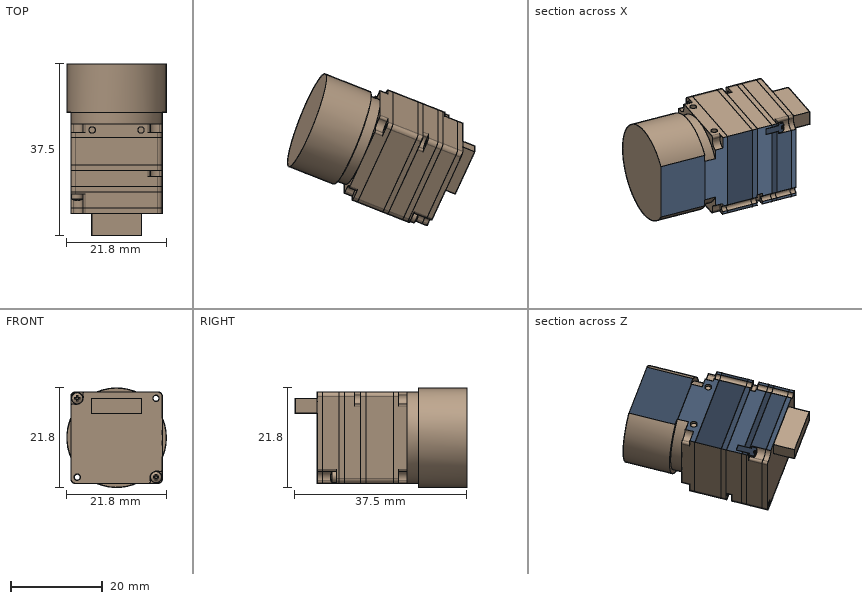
import cadquery as cq
import math

body_width = 20.0
corner_radius = 1.05
board_thickness = 1.2
spacer_thickness = 3.5
housing_length = 6.0
mount_flange_length = 3.0

mount_neck_diameter = 20.0
lens_diameter = 21.75
lens_length = 10.62
camera_length = 32.7

connector_width = 10.9
connector_height = 3.25
connector_length = 4.8
connector_center_z = 6.95

screw_offset = 8.6
through_hole_diameter = 1.3
screw_head_diameter = 2.44
screw_head_rim_height = 1.03
screw_head_height = 1.4
screw_shank_diameter = 1.3
screw_shank_length = 3.0

recess_span = 1.3
recess_floor_span = 0.3
recess_arm_width = 0.4
recess_center_diameter = 0.6
recess_depth = 0.65

pocket_center_offset = 8.85
pocket_radius = 1.58
pocket_blend_radius = 0.48
rear_pocket_floor_thickness = 0.45
middle_pocket_depth = 1.25
mount_pocket_depth = 1.85

lock_hole_diameter = 1.4
lock_hole_spacing = 10.65
lock_hole_depth = 2.0
lock_hole_from_neck = 1.35

rear_spacer_y = board_thickness
middle_board_y = rear_spacer_y + spacer_thickness
front_spacer_y = middle_board_y + board_thickness
front_board_y = front_spacer_y + spacer_thickness
housing_y = front_board_y + board_thickness
mount_y = housing_y + housing_length
neck_y = mount_y + mount_flange_length
lens_y = camera_length - lens_length
screw_seat_y = middle_board_y - rear_pocket_floor_thickness

half_width = body_width / 2
screw_corners = [(-1, 1), (1, -1)]
open_hole_corners = [(1, 1), (-1, -1)]


def plane_at(y):
    """XZ plane at the given Y, extruding toward +Y, with local axes (X, -Z)."""
    return cq.Workplane(cq.Plane(origin=(0, y, 0), xDir=(1, 0, 0), normal=(0, 1, 0)))


def cylinder(y, length, diameter, x=0, z=0):
    return plane_at(y).center(x, -z).circle(diameter / 2).extrude(length)


def block(y, length):
    """Square slab of the stack with rounded edges along Y."""
    return plane_at(y).rect(body_width, body_width).extrude(length).edges("|Y").fillet(corner_radius)


def cut_corner_holes(body, y, length, corners, diameter):
    for sx, sz in corners:
        body = body.cut(cylinder(y, length, diameter, sx * screw_offset, sz * screw_offset))
    return body


def corner_pocket(y, length, sx, sz):
    """Cutter for a corner: a concave arc flowing through convex blends into both side faces."""
    c = pocket_center_offset
    r = pocket_blend_radius
    reach = pocket_radius + r
    blend_far = half_width - r
    blend_near = c - math.sqrt(reach**2 - (blend_far - c) ** 2)
    tangent_angle = math.asin((blend_far - c) / reach)
    tangent_far = c + pocket_radius * math.sin(tangent_angle)
    tangent_near = c - pocket_radius * math.cos(tangent_angle)
    mid_angle = (math.pi / 2 - tangent_angle) / 2
    blend_mid_far = blend_far + r * math.sin(mid_angle)
    blend_mid_near = blend_near + r * math.cos(mid_angle)
    arc_mid = c - pocket_radius / math.sqrt(2)

    def point(x, z):
        return (sx * x, -sz * z)

    return (
        plane_at(y)
        .moveTo(*point(half_width, half_width))
        .lineTo(*point(blend_near, half_width))
        .threePointArc(point(blend_mid_near, blend_mid_far), point(tangent_near, tangent_far))
        .threePointArc(point(arc_mid, arc_mid), point(tangent_far, tangent_near))
        .threePointArc(point(blend_mid_far, blend_mid_near), point(half_width, blend_near))
        .close()
        .extrude(length)
    )


def cut_pockets(body, y, length, corners):
    for sx, sz in corners:
        body = body.cut(corner_pocket(y, length, sx, sz))
    return body


def drilled_block(y, length):
    """Slab with the two open corner holes."""
    return cut_corner_holes(block(y, length), y, length, open_hole_corners, through_hole_diameter)


def make_rear_board():
    board = cut_pockets(drilled_block(0, board_thickness), 0, board_thickness, screw_corners)
    plug = (
        plane_at(-connector_length)
        .center(0, -connector_center_z)
        .rect(connector_width, connector_height)
        .extrude(connector_length)
    )
    return board.union(plug)


def make_rear_spacer():
    spacer = drilled_block(rear_spacer_y, spacer_thickness)
    spacer = cut_pockets(spacer, rear_spacer_y, screw_seat_y - rear_spacer_y, screw_corners)
    return cut_corner_holes(
        spacer, screw_seat_y, rear_pocket_floor_thickness, screw_corners, screw_shank_diameter
    )


def make_middle_board():
    board = drilled_block(middle_board_y, board_thickness)
    return cut_corner_holes(board, middle_board_y, board_thickness, screw_corners, screw_shank_diameter)


def make_front_spacer():
    spacer = drilled_block(front_spacer_y, spacer_thickness)
    pocket_y = front_board_y - middle_pocket_depth
    spacer = cut_pockets(spacer, pocket_y, middle_pocket_depth, open_hole_corners)
    tip_length = screw_seat_y + screw_shank_length - front_spacer_y
    return cut_corner_holes(spacer, front_spacer_y, tip_length, screw_corners, screw_shank_diameter)


def make_mount():
    mount = drilled_block(mount_y, mount_flange_length)
    pocket_y = neck_y - mount_pocket_depth
    mount = cut_pockets(mount, pocket_y, mount_pocket_depth, screw_corners + open_hole_corners)
    mount = mount.union(cylinder(neck_y, lens_y - neck_y, mount_neck_diameter))
    lock_holes = (
        cq.Workplane("XY", origin=(0, neck_y - lock_hole_from_neck, half_width - lock_hole_depth))
        .rarray(lock_hole_spacing, 1, 2, 1)
        .circle(lock_hole_diameter / 2)
        .extrude(lock_hole_depth)
    )
    return mount.cut(lock_holes)


def make_screw(sx, sz):
    head_radius = screw_head_diameter / 2
    dome_height = screw_head_height - screw_head_rim_height
    dome_radius = (head_radius**2 + dome_height**2) / (2 * dome_height)
    dome_center = screw_head_height - dome_radius
    mid_angle = math.asin(head_radius / dome_radius) / 2
    dome_mid = (dome_radius * math.sin(mid_angle), -dome_center - dome_radius * math.cos(mid_angle))
    screw = (
        cq.Workplane("XY")
        .moveTo(0, screw_shank_length)
        .lineTo(screw_shank_diameter / 2, screw_shank_length)
        .lineTo(screw_shank_diameter / 2, 0)
        .lineTo(head_radius, 0)
        .lineTo(head_radius, -screw_head_rim_height)
        .threePointArc(dome_mid, (0, -screw_head_height))
        .close()
        .revolve(360, (0, 0, 0), (0, 1, 0))
    )
    arm = (
        cq.Workplane("XY")
        .moveTo(-recess_span / 2, -screw_head_height)
        .lineTo(recess_span / 2, -screw_head_height)
        .lineTo(recess_floor_span / 2, recess_depth - screw_head_height)
        .lineTo(-recess_floor_span / 2, recess_depth - screw_head_height)
        .close()
        .extrude(recess_arm_width / 2, both=True)
    )
    screw = screw.cut(arm).cut(arm.rotate((0, 0, 0), (0, 1, 0), 90))
    screw = screw.cut(cylinder(-screw_head_height, recess_depth, recess_center_diameter))
    return screw.translate((sx * screw_offset, screw_seat_y, sz * screw_offset))


rear_board = make_rear_board()
rear_spacer = make_rear_spacer()
middle_board = make_middle_board()
front_spacer = make_front_spacer()
front_board = drilled_block(front_board_y, board_thickness)
housing = drilled_block(housing_y, housing_length)
mount = make_mount()
lens = cylinder(lens_y, lens_length, lens_diameter)
screws = [make_screw(sx, sz) for sx, sz in screw_corners]

result = cq.Compound.makeCompound(
    [
        rear_board.val(),
        rear_spacer.val(),
        middle_board.val(),
        front_spacer.val(),
        front_board.val(),
        housing.val(),
        mount.val(),
        lens.val(),
        *[screw.val() for screw in screws],
    ]
)